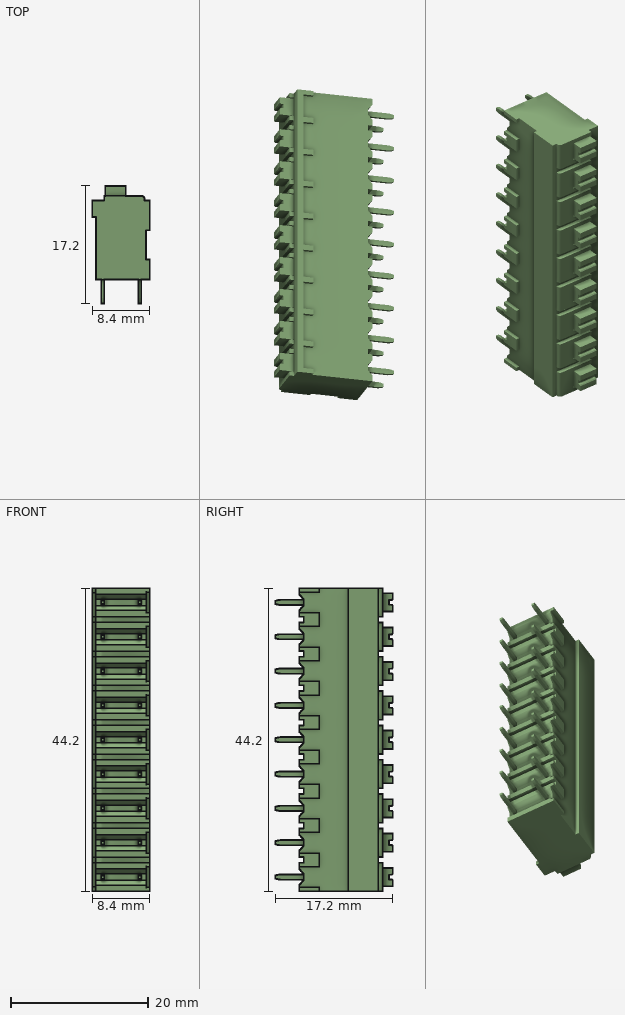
import cadquery as cq

module_count = 9
pitch = 5.0
module_height = 4.2
module_gap = pitch - module_height
total_height = (module_count - 1) * pitch + module_height
module_bases = [index * pitch for index in range(module_count)]

housing_width = 8.4
housing_depth = 11.55

rail_thickness = 0.55
rail_front = 10.62
finger_tip = 9.1
end_finger_height = 0.7

channel_depth = 0.55
channel_front = 2.95
channel_back = 7.15
pocket_height = 3.0

groove_depth = 0.65
groove_floor_height = 0.9
groove_mouth_height = 2.35

block_left = 1.75
block_right = 7.65
block_rise = 0.65
block_top = housing_depth + block_rise
block_corner_radius = 0.5

knob_left = 1.9
knob_right = 4.9
knob_top = 13.65
knob_height = 2.7
knob_clearance = 0.1
knob_slot_depth = 0.55
knob_slot_height = 0.65
knob_slot_chamfer = 0.15

pin_length = 3.5
pin_straight_length = 2.7
pin_thickness = 0.45
pin_height = 0.8
pin_tip_height = 0.45
pin_tip_bulge = 0.03
pin_spacing = 5.4
pin_first_left = 1.32
pin_lefts = (pin_first_left, pin_first_left + pin_spacing)


def box(x_range, y_range, z_range):
    """A block between two corners given as ranges along each axis."""
    size = [high - low for low, high in (x_range, y_range, z_range)]
    corner = (x_range[0], y_range[0], z_range[0])
    return cq.Workplane("XY").box(*size, centered=False).translate(corner)


def centred(middle, height):
    """The range of the given height about a middle."""
    return (middle - height / 2, middle + height / 2)


def side_profile(x_start):
    """A sketch plane facing +X, whose axes are Y and Z."""
    return cq.Workplane("YZ", origin=(x_start, 0, 0))


def make_housing():
    """The housing outline over its full height, without the left rail."""
    channel_floor = housing_width - channel_depth
    return (
        cq.Workplane("XY")
        .moveTo(rail_thickness, 0)
        .lineTo(housing_width, 0)
        .lineTo(housing_width, channel_front)
        .lineTo(channel_floor, channel_front)
        .lineTo(channel_floor, channel_back)
        .lineTo(housing_width, channel_back)
        .lineTo(housing_width, housing_depth)
        .lineTo(rail_thickness, housing_depth)
        .close()
        .extrude(total_height)
    )


def make_rail():
    """The left rail, with a finger at each end and one at each gap between modules."""
    across = (0, rail_thickness)
    rail = box(across, (rail_front, housing_depth), (0, total_height))
    finger_ranges = [(0, end_finger_height), (total_height - end_finger_height, total_height)]
    finger_ranges += [(base - module_gap, base) for base in module_bases[1:]]
    for finger_range in finger_ranges:
        rail = rail.union(box(across, (finger_tip, rail_front), finger_range))
    return rail


def make_groove(middle):
    """The groove with sloped walls that the pins stand in."""
    return (
        side_profile(0)
        .moveTo(0, middle - groove_mouth_height / 2)
        .lineTo(groove_depth, middle - groove_floor_height / 2)
        .lineTo(groove_depth, middle + groove_floor_height / 2)
        .lineTo(0, middle + groove_mouth_height / 2)
        .close()
        .extrude(housing_width)
    )


def make_pocket(middle):
    """The right-hand pocket running from the pin side into the channel."""
    across = (housing_width - channel_depth, housing_width)
    return box(across, (0, channel_front), centred(middle, pocket_height))


def make_block(base):
    """The raised block of one module, open on its left around the knob."""
    block = box((block_left, block_right), (housing_depth, block_top), (base, base + module_height))
    block = block.edges("|Z and >X and >Y").fillet(block_corner_radius)
    opening = box(
        (block_left, knob_right + knob_clearance),
        (housing_depth, block_top),
        centred(base + module_height / 2, knob_height + 2 * knob_clearance),
    )
    return block.cut(opening)


def make_knob(middle):
    """The knob, with a slot across its top whose mouth is chamfered."""
    knob = box((knob_left, knob_right), (housing_depth, knob_top), centred(middle, knob_height))
    slot_low, slot_high = centred(middle, knob_slot_height)
    slot = (
        side_profile(knob_left)
        .moveTo(knob_top, slot_low - knob_slot_chamfer)
        .lineTo(knob_top - knob_slot_chamfer, slot_low)
        .lineTo(knob_top - knob_slot_depth, slot_low)
        .lineTo(knob_top - knob_slot_depth, slot_high)
        .lineTo(knob_top - knob_slot_chamfer, slot_high)
        .lineTo(knob_top, slot_high + knob_slot_chamfer)
        .close()
        .extrude(knob_right - knob_left)
    )
    return knob.cut(slot)


def make_pin(left, middle):
    """A flat pin with a rounded taper at its tip."""
    half = pin_height / 2
    half_tip = pin_tip_height / 2
    arc_y = -(pin_straight_length + pin_length) / 2
    half_arc = (half + half_tip) / 2 + pin_tip_bulge
    return (
        side_profile(left)
        .moveTo(groove_depth, middle - half)
        .lineTo(-pin_straight_length, middle - half)
        .threePointArc((arc_y, middle - half_arc), (-pin_length, middle - half_tip))
        .lineTo(-pin_length, middle + half_tip)
        .threePointArc((arc_y, middle + half_arc), (-pin_straight_length, middle + half))
        .lineTo(groove_depth, middle + half)
        .close()
        .extrude(pin_thickness)
    )


result = make_housing().union(make_rail())

for base in module_bases[1:]:
    result = result.cut(box((0, housing_width), (0, groove_depth), (base - module_gap, base)))

for base in module_bases:
    middle = base + module_height / 2
    result = result.cut(make_groove(middle)).cut(make_pocket(middle))
    result = result.union(make_block(base)).union(make_knob(middle))
    for left in pin_lefts:
        result = result.union(make_pin(left, middle))